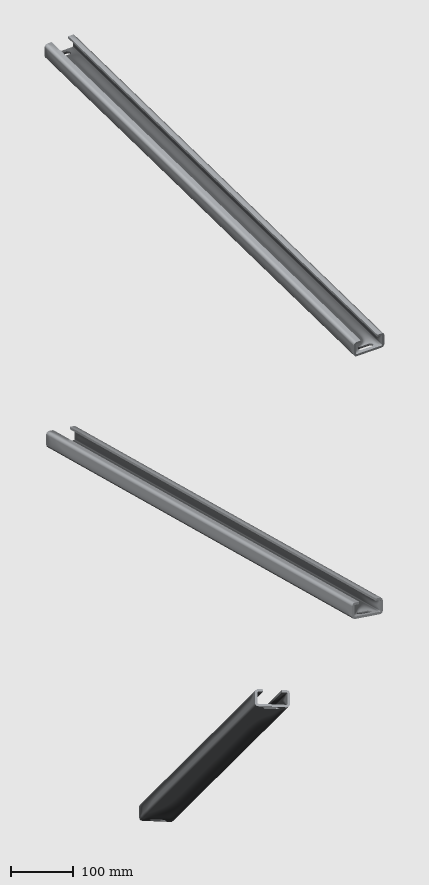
import cadquery as cq

length = 959.5
width = 57.0
height = 28.0

wall = 4.0
outer_radius = 5.5
inner_radius = outer_radius - wall
opening_width = 31.0

slot_length = 27.0
slot_width = 9.0
slot_end_distance = 11.0


def rounded_bar(bar_width, bar_height, radius):
    """Full-length bar, centred on the origin, with rounded long edges."""
    return cq.Workplane("XY").box(length, bar_width, bar_height).edges("|X").fillet(radius)


def make_channel():
    """Rounded tube opened along its top, leaving two inward lips."""
    outside = rounded_bar(width, height, outer_radius)
    inside = rounded_bar(width - 2 * wall, height - 2 * wall, inner_radius)
    opening = cq.Workplane("XY").box(
        length, opening_width, height / 2, centered=(True, True, False)
    )
    return outside.cut(inside).cut(opening)


def make_slots():
    """Matching slot cutters at both ends of the floor."""
    slot_x = length / 2 - slot_end_distance
    return (
        cq.Workplane("XY")
        .workplane(offset=-height / 2)
        .pushPoints([(-slot_x, 0), (slot_x, 0)])
        .slot2D(slot_length, slot_width, 90)
        .extrude(wall)
    )


result = make_channel().cut(make_slots())